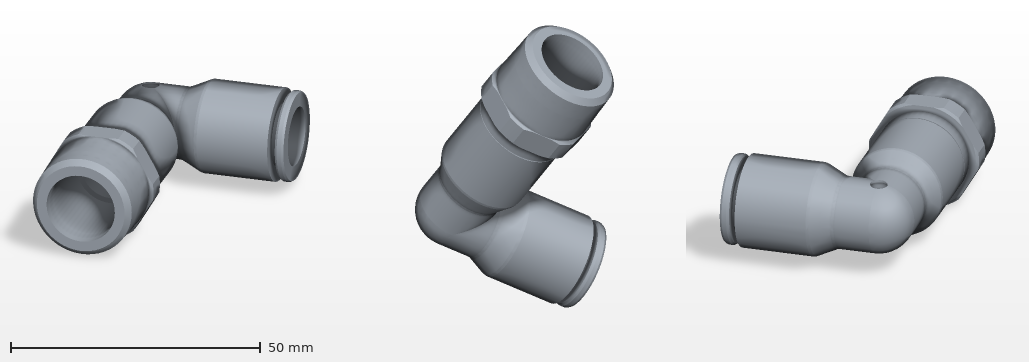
import cadquery as cq
import math


neck_radius = 7.35
body_radius = 9.55
cone_start = 7.65
cone_end = 12.2
body_end = 27.35
cone_blend_radius = 1.5
elbow_bore_radius = 6.05

recess_radius = 1.75
recess_depth = 0.7
recess_offset_y = 0.2

collar_neck_radius = 6.6
collar_radius = 9.25
collar_flange_start = 28.7
collar_end = 30.6
collar_inner_bevel_length = 0.5
collar_inner_bevel_height = 0.4
collar_outer_bevel_length = 0.45
collar_outer_bevel_height = 0.2

overall_length = 57.1
adapter_end = overall_length - body_radius
adapter_bore_radius = 7.15
groove_width = 0.3
groove_radius = 8.35
groove_end = body_end + groove_width

hex_start = 30.8
hex_end = 35.8
hex_across_flats = 21.5
hex_corner_radius = 11.55
hex_bevel_length = 0.35
hex_bevel_height = 0.55

thread_start_radius = 10.7
gauge_plane = 42.5
gauge_radius = 10.45
thread_bevel_start = 46.4
thread_bevel_radius = 10.35
thread_tip_radius = 9.2


def revolve_along_x(outline):
    """Turn a closed outline of (distance along X, radius) points about the X axis."""
    return cq.Workplane("XY").polyline(outline).close().revolve(360, (0, 0, 0), (1, 0, 0))


def onto_threaded_arm(shape):
    """Swing a shape built along +X onto the -Y axis."""
    return shape.rotate((0, 0, 0), (0, 0, 1), -90)


def stretch(start, end, radius):
    """Plain cylinder along X between two distances from the corner."""
    return cq.Workplane("YZ", origin=(start, 0, 0)).circle(radius).extrude(end - start)


def body_arm():
    """Neck widening through a blended cone to the full body radius."""
    arm = revolve_along_x([
        (0, 0),
        (0, neck_radius),
        (cone_start, neck_radius),
        (cone_end, body_radius),
        (body_end, body_radius),
        (body_end, 0),
    ])
    reach = body_radius
    cone_zone = cq.selectors.BoxSelector(
        (cone_start - cone_blend_radius, -reach, -reach),
        (cone_end + cone_blend_radius, reach, reach),
    )
    return arm.edges("%CIRCLE").edges(cone_zone).fillet(cone_blend_radius)


def release_collar():
    """Bevelled flange on a narrower neck."""
    return revolve_along_x([
        (body_end, 0),
        (body_end, collar_neck_radius),
        (collar_flange_start, collar_neck_radius),
        (collar_flange_start, collar_radius - collar_inner_bevel_height),
        (collar_flange_start + collar_inner_bevel_length, collar_radius),
        (collar_end - collar_outer_bevel_length, collar_radius),
        (collar_end, collar_radius - collar_outer_bevel_height),
        (collar_end, 0),
    ])


def hexagon():
    """Hexagon with rounded corners and bevelled ends; two of its flats face +Z and -Z."""
    across_corners = hex_across_flats / math.cos(math.pi / 6)
    prism = (
        cq.Workplane("YZ", origin=(hex_start, 0, 0))
        .polygon(6, across_corners)
        .extrude(hex_end - hex_start)
    )
    turned_envelope = revolve_along_x([
        (hex_start, 0),
        (hex_start, hex_corner_radius - hex_bevel_height),
        (hex_start + hex_bevel_length, hex_corner_radius),
        (hex_end - hex_bevel_length, hex_corner_radius),
        (hex_end, hex_corner_radius - hex_bevel_height),
        (hex_end, 0),
    ])
    return prism.intersect(turned_envelope)


def thread():
    """Tapered thread envelope with a bevelled tip."""
    return revolve_along_x([
        (hex_end, 0),
        (hex_end, thread_start_radius),
        (gauge_plane, gauge_radius),
        (thread_bevel_start, thread_bevel_radius),
        (adapter_end, thread_tip_radius),
        (adapter_end, 0),
    ])


def bores():
    """Passage through both arms, rounded at the corner and wider in the adapter."""
    tube_bore = stretch(0, collar_end, elbow_bore_radius)
    elbow_bore = onto_threaded_arm(stretch(0, body_end, elbow_bore_radius))
    adapter_bore = onto_threaded_arm(stretch(body_end, adapter_end, adapter_bore_radius))
    corner = cq.Workplane("XY").sphere(elbow_bore_radius)
    return corner.union(tube_bore).union(elbow_bore).union(adapter_bore)


def corner_recess():
    """Flat-bottomed round recess, cut down from above the elbow corner."""
    floor = neck_radius - recess_depth
    return (
        cq.Workplane("XY", origin=(0, recess_offset_y, floor))
        .circle(recess_radius)
        .extrude(2 * recess_depth)
    )


adapter = (
    stretch(body_end, groove_end, groove_radius)
    .union(stretch(groove_end, hex_start, body_radius))
    .union(hexagon())
    .union(thread())
)

result = (
    cq.Workplane("XY").sphere(neck_radius)
    .union(body_arm())
    .union(release_collar())
    .union(onto_threaded_arm(body_arm()))
    .union(onto_threaded_arm(adapter))
    .cut(bores())
    .cut(corner_recess())
)